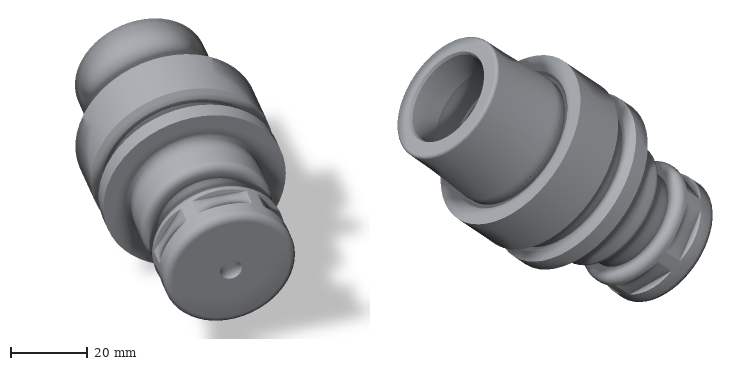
import cadquery as cq
import math

TOTAL_LENGTH = 85.0
TAPER_END = 22.8
FLANGE_START = 24.8
V_GROOVE_START = 39.4
V_GROOVE_END = 46.4
V_GROOVE_CHAMFER = 1.5
FLANGE_END = 51.0
BARREL_END = 63.75
NUT_START = 70.9

FLANGE_RADIUS = 50.0 / 2
V_GROOVE_EDGE_RADIUS = 22.6
V_GROOVE_FLOOR_RADIUS = 43.0 / 2
BODY_RADIUS = 36.0 / 2
TAPER_LARGE_RADIUS = 37.9 / 2
NECK_RADIUS = 28.0 / 2

TAPER_LIP_FILLET = 0.85
BARREL_ROOT_FILLET = 1.0
RIM_FILLET = 2.0

RELIEF_START = 23.8
RELIEF_DEPTH = 0.2
FACE_GROOVE_OUTER_RADIUS = 20.3
FACE_GROOVE_CHAMFER = 0.8

THROUGH_HOLE_RADIUS = 6.0 / 2
BORE_RADIUS = 26.0 / 2
BORE_CHAMFER_LENGTH = 0.85
BORE_CHAMFER_DEPTH = 0.38
UNDERCUT_START = 10.2
UNDERCUT_END = 17.85
UNDERCUT_DEPTH = 0.5
BORE_DEPTH = 25.5

FLAT_COUNT = 6
FLAT_APOTHEM = 16.4
FLAT_START = 74.0
FLAT_END = 79.2
FLAT_WALL_SLOPE = 0.3
FLAT_CUT_HEIGHT = 2.55


def round_outer_edge(profile, x, radius, fillet):
    """Round the corner between an end face at x and the cylinder ahead of it."""
    diagonal = fillet * (1 - math.sqrt(0.5))
    return profile.threePointArc(
        (x - diagonal, radius - diagonal), (x, radius - fillet)
    )


def make_body():
    """Revolve the outer profile, drawn as (x, radius), about the X axis."""
    lip_diagonal = TAPER_LIP_FILLET * (1 - math.sqrt(0.5))
    rim_diagonal = RIM_FILLET * (1 - math.sqrt(0.5))
    root_diagonal = BARREL_ROOT_FILLET * (1 - math.sqrt(0.5))
    relief_radius = TAPER_LARGE_RADIUS - RELIEF_DEPTH
    groove_floor_x = FLANGE_START + FACE_GROOVE_CHAMFER
    groove_floor_radius = FACE_GROOVE_OUTER_RADIUS - FACE_GROOVE_CHAMFER

    profile = (
        cq.Workplane("XY")
        .lineTo(0, BODY_RADIUS - TAPER_LIP_FILLET)
        .threePointArc((lip_diagonal, BODY_RADIUS - lip_diagonal), (TAPER_LIP_FILLET, BODY_RADIUS))
        .tangentArcPoint((TAPER_END, TAPER_LARGE_RADIUS), relative=False)
        .lineTo(RELIEF_START, TAPER_LARGE_RADIUS)
        .lineTo(RELIEF_START + RELIEF_DEPTH, relief_radius)
        .lineTo(groove_floor_x, relief_radius)
        .lineTo(groove_floor_x, groove_floor_radius)
        .lineTo(FLANGE_START, FACE_GROOVE_OUTER_RADIUS)
    )
    profile = (
        profile.lineTo(FLANGE_START, FLANGE_RADIUS)
        .lineTo(V_GROOVE_START, FLANGE_RADIUS)
        .lineTo(V_GROOVE_START + V_GROOVE_CHAMFER, V_GROOVE_EDGE_RADIUS)
        .lineTo(V_GROOVE_START + V_GROOVE_CHAMFER, V_GROOVE_FLOOR_RADIUS)
        .lineTo(V_GROOVE_END - V_GROOVE_CHAMFER, V_GROOVE_FLOOR_RADIUS)
        .lineTo(V_GROOVE_END - V_GROOVE_CHAMFER, V_GROOVE_EDGE_RADIUS)
        .lineTo(V_GROOVE_END, FLANGE_RADIUS)
        .lineTo(FLANGE_END, FLANGE_RADIUS)
    )
    profile = (
        profile.lineTo(FLANGE_END, BODY_RADIUS + BARREL_ROOT_FILLET)
        .threePointArc(
            (FLANGE_END + root_diagonal, BODY_RADIUS + root_diagonal),
            (FLANGE_END + BARREL_ROOT_FILLET, BODY_RADIUS),
        )
        .lineTo(BARREL_END - RIM_FILLET, BODY_RADIUS)
    )
    profile = round_outer_edge(profile, BARREL_END, BODY_RADIUS, RIM_FILLET)
    profile = (
        profile.lineTo(BARREL_END, NECK_RADIUS)
        .lineTo(NUT_START, NECK_RADIUS)
        .lineTo(NUT_START, BODY_RADIUS - RIM_FILLET)
        .threePointArc(
            (NUT_START + rim_diagonal, BODY_RADIUS - rim_diagonal),
            (NUT_START + RIM_FILLET, BODY_RADIUS),
        )
        .lineTo(TOTAL_LENGTH - RIM_FILLET, BODY_RADIUS)
    )
    profile = round_outer_edge(profile, TOTAL_LENGTH, BODY_RADIUS, RIM_FILLET)
    return profile.lineTo(TOTAL_LENGTH, 0).close().revolve(360, (0, 0, 0), (1, 0, 0))


def make_bore():
    """Stepped cavity: chamfered mouth, undercut, floor and central through hole."""
    undercut_radius = BORE_RADIUS + UNDERCUT_DEPTH
    return (
        cq.Workplane("XY")
        .lineTo(0, BORE_RADIUS + BORE_CHAMFER_DEPTH)
        .lineTo(BORE_CHAMFER_LENGTH, BORE_RADIUS)
        .lineTo(UNDERCUT_START, BORE_RADIUS)
        .lineTo(UNDERCUT_START, undercut_radius)
        .lineTo(UNDERCUT_END, undercut_radius)
        .lineTo(UNDERCUT_END + UNDERCUT_DEPTH, BORE_RADIUS)
        .lineTo(BORE_DEPTH, BORE_RADIUS)
        .lineTo(BORE_DEPTH, THROUGH_HOLE_RADIUS)
        .lineTo(TOTAL_LENGTH, THROUGH_HOLE_RADIUS)
        .lineTo(TOTAL_LENGTH, 0)
        .close()
        .revolve(360, (0, 0, 0), (1, 0, 0))
    )


def make_flat_cutter():
    """Wedge-ended block that leaves one wrench flat on the top of the nut."""
    wall_run = FLAT_WALL_SLOPE * FLAT_CUT_HEIGHT
    top = FLAT_APOTHEM + FLAT_CUT_HEIGHT
    return (
        cq.Workplane("XZ")
        .moveTo(FLAT_START, FLAT_APOTHEM)
        .lineTo(FLAT_END, FLAT_APOTHEM)
        .lineTo(FLAT_END + wall_run, top)
        .lineTo(FLAT_START - wall_run, top)
        .close()
        .extrude(BODY_RADIUS, both=True)
    )


result = make_body().cut(make_bore())
flat_cutter = make_flat_cutter()
for index in range(FLAT_COUNT):
    result = result.cut(flat_cutter.rotate((0, 0, 0), (1, 0, 0), index * 360 / FLAT_COUNT))